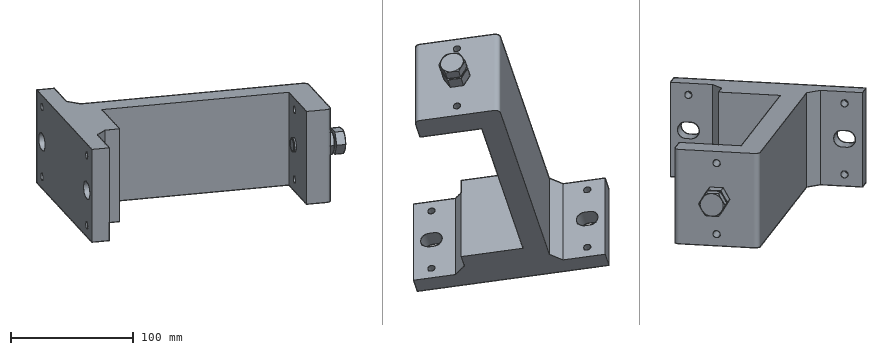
import cadquery as cq
import math

plate_width = 160.0
height = 80.0
plate_thickness = 15.0

body_width = 71.0
web_thickness = 19.5
foot_chamfer = 9.5
lower_arm_y = 36.6
upper_arm_y = 195.5
body_end_y = 216.8
corner_radius = 4.5

hole_spacing_x = 130.0
hole_spacing_z = 60.0
hole_diameter = 6.0
slot_length = 18.0
slot_width = 14.0

total_length = 236.5
shank_diameter = 12.0
shank_tip_y = 193.5
tip_chamfer = 0.7
across_flats = 19.2
head_thickness = 8.0
nut_thickness = 10.0
hex_bevel_angle = 30.0


def along_y(start_y):
    """Workplane at start_y whose local axes are X and Z and whose normal is +Y."""
    return cq.Workplane(cq.Plane((0, start_y, 0), xDir=(1, 0, 0), normal=(0, 1, 0)))


def make_bracket():
    half_plate = plate_width / 2
    half_body = body_width / 2
    half_foot = half_body + foot_chamfer
    foot_top = plate_thickness + foot_chamfer
    web_inner_x = web_thickness - half_body
    profile = [
        (-half_plate, 0),
        (half_plate, 0),
        (half_plate, plate_thickness),
        (half_foot, plate_thickness),
        (half_body, foot_top),
        (half_body, lower_arm_y),
        (web_inner_x, lower_arm_y),
        (web_inner_x, upper_arm_y),
        (half_body, upper_arm_y),
        (half_body, body_end_y),
        (-half_body, body_end_y),
        (-half_body, foot_top),
        (-half_foot, plate_thickness),
        (-half_plate, plate_thickness),
    ]
    bracket = cq.Workplane("XY").polyline(profile).close().extrude(height / 2, both=True)
    return bracket.faces(">Y").edges("|Z").fillet(corner_radius)


def make_plate_holes():
    screw_holes = (
        along_y(0)
        .rarray(hole_spacing_x, hole_spacing_z, 2, 2)
        .circle(hole_diameter / 2)
        .extrude(plate_thickness)
    )
    slots = (
        along_y(0)
        .rarray(hole_spacing_x, 2.4, 2, 1)
        .slot2D(slot_length, slot_width)
        .extrude(plate_thickness)
    )
    return screw_holes.union(slots)


def make_arm_holes():
    return (
        along_y(upper_arm_y)
        .rarray(2.4, hole_spacing_z, 1, 2)
        .circle(hole_diameter / 2)
        .extrude(body_end_y - upper_arm_y)
    )


def make_hex(start_y, thickness):
    """Hexagon with corners toward +X and -X, corners bevelled on its +Y end."""
    hex_corner_radius = across_flats / 2 / math.cos(math.pi / 6)
    bevel_drop = (hex_corner_radius - across_flats / 2) * math.tan(math.radians(hex_bevel_angle))
    prism = along_y(start_y).polygon(6, 2 * hex_corner_radius).extrude(thickness)
    bevel_envelope = (
        cq.Workplane("XY")
        .moveTo(0, start_y)
        .lineTo(hex_corner_radius, start_y)
        .lineTo(hex_corner_radius, start_y + thickness - bevel_drop)
        .lineTo(across_flats / 2, start_y + thickness)
        .lineTo(0, start_y + thickness)
        .close()
        .revolve(360, (0, 0, 0), (0, 1, 0))
    )
    return prism.intersect(bevel_envelope)


def make_bolt():
    head_start_y = total_length - head_thickness
    shank = along_y(shank_tip_y).circle(shank_diameter / 2).extrude(head_start_y - shank_tip_y)
    shank = shank.faces("<Y").chamfer(tip_chamfer)
    head = make_hex(head_start_y, head_thickness)
    nut = make_hex(body_end_y, nut_thickness)
    return shank.union(head).union(nut)


result = make_bracket().cut(make_plate_holes()).cut(make_arm_holes()).union(make_bolt())